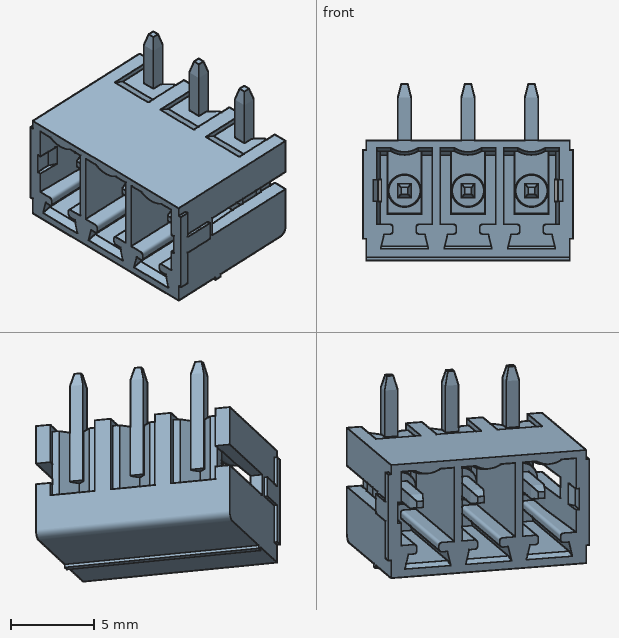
import cadquery as cq
import math


overlap = 0.13

pitch = 3.81
pole_count = 3
pole_xs = [(i - (pole_count - 1) / 2) * pitch for i in range(pole_count)]

overall_width = 12.62
body_width = 12.24
body_depth = 9.2
body_bottom = 0.19
body_top = 7.22
rear_bottom_radius = 0.48
half_body = body_width / 2

flange_thickness = (overall_width - body_width) / 2
flange_depth = 0.59
flange_bottom = 1.3
flange_top = 6.64
tongue_depth = 2.51
tongue_bottom = 3.61
tongue_top = 4.81

standoff_front = 3.17
standoff_rear = 3.62

pin_size = 0.82
pin_tip_size = 0.4
pin_tip_length = 0.82
pin_z = 4.19
pin_y = 8.01
pin_front = 1.63
pin_top = 10.6

cavity_half = 1.67
cavity_floor = 2.17
cavity_rear = 7.98
ceiling_front = 6.76
ceiling_mouth_depth = 0.62
ceiling = 6.58
ceiling_rear = 6.34
ceiling_rear_bevel = 0.5
outer_wall_draft = 0.21
outer_wall_draft_depth = 5.68
bulge_half_width = 0.82
bulge_drop = 0.24

pedestal_front = 6.87
pedestal_half = 1.0
pedestal_bottom = 2.84
pedestal_flare = 0.05
collar_front = 5.67
collar_radius = 0.95
collar_base_radius = 0.98

throat_half = 0.7
lip_radius = 0.19
lip_bottom = 1.59
groove_top_half = 1.22
groove_bottom_half = 1.44
groove_floor = 0.87
groove_mouth_floor = 0.7
groove_mouth_depth = 0.54

slot_bottom = 3.56
slot_top = 4.86
slot_front = 2.89
recess_x = 5.69
recess_depth = 0.88
recess_ramp_rear = 1.51
recess_ramp_x = 5.38

pocket_half = 1.4
pocket_floor = 6.89
pocket_front = 6.13
pocket_slope_rear = 6.83
rear_recess_y = 8.8
vee_half = 0.95
vee_apex_y = rear_recess_y - vee_half
rear_recess_bottom = 2.78
rear_recess_rise = 0.4
slot_floor_x = pole_xs[-1] + pocket_half


def box(x0, x1, y0, y1, z0, z1):
    """Axis-aligned block between the given limits."""
    return cq.Workplane("XY").box(x1 - x0, y1 - y0, z1 - z0, centered=False).translate((x0, y0, z0))


def rect_loft(start, end):
    """Straight-sided loft along Y between two rectangles (y, x0, x1, z0, z1)."""
    wires = []
    for y, x0, x1, z0, z1 in (start, end):
        corners = [(x0, y, z0), (x1, y, z0), (x1, y, z1), (x0, y, z1)]
        wires.append(cq.Wire.makePolygon([cq.Vector(*c) for c in corners], close=True))
    return cq.Workplane(obj=cq.Solid.makeLoft(wires, True))


def prism_y(outline, y0, y1):
    """Extrude an XZ outline from y0 to y1."""
    return outline.extrude(y0 - y1).translate((0, y0, 0))


def housing():
    body = box(-half_body, half_body, 0, body_depth, body_bottom, body_top)
    body = body.edges("|X and >Y and <Z").fillet(rear_bottom_radius)
    body = body.union(box(-half_body, half_body, standoff_front, standoff_rear, 0, body_bottom + overlap))
    for side in (-1, 1):
        x0, x1 = sorted((side * half_body, side * (half_body + flange_thickness)))
        body = body.union(box(x0, x1, 0, flange_depth, flange_bottom, flange_top))
        body = body.union(box(x0, x1, 0, tongue_depth, tongue_bottom, tongue_top))
    return body


def ceiling_bulge(x):
    """Rounded rib hanging from the cavity ceiling, sloped at the mouth and level behind it."""

    def stretch(y0, z0, y1, z1):
        profile = (
            cq.Workplane("XZ", origin=(x, y0, z0))
            .moveTo(-bulge_half_width, bulge_drop)
            .lineTo(-bulge_half_width, 0)
            .threePointArc((0, -bulge_drop), (bulge_half_width, 0))
            .lineTo(bulge_half_width, bulge_drop)
            .close()
        )
        return cq.Workplane(obj=cq.Solid.extrudeLinear(profile.val(), [], cq.Vector(0, y1 - y0, z1 - z0)))

    mouth = stretch(0, ceiling_front, ceiling_mouth_depth, ceiling)
    return mouth.union(stretch(ceiling_mouth_depth, ceiling, pedestal_front, ceiling))


def pedestal(x):
    """Flared block on the rear wall with a tapered collar round the pin."""
    flare_half = pedestal_half + pedestal_flare
    block = rect_loft(
        (pedestal_front, x - pedestal_half, x + pedestal_half, pedestal_bottom, body_top),
        (cavity_rear, x - flare_half, x + flare_half, pedestal_bottom - pedestal_flare, body_top),
    )
    collar = cq.Workplane(
        obj=cq.Solid.makeCone(
            collar_radius,
            collar_base_radius,
            pedestal_front - collar_front,
            cq.Vector(x, collar_front, pin_z),
            cq.Vector(0, 1, 0),
        )
    )
    return block.union(collar)


def keyed_groove(x):
    """Round-lipped throat over a dovetail, with the floor bevelled at the mouth."""
    lip_middle = (cavity_floor + lip_bottom) / 2
    throat = box(x - throat_half, x + throat_half, 0, cavity_rear, lip_bottom, cavity_floor)
    for side in (-1, 1):
        for z, toward in ((cavity_floor, -1), (lip_bottom, 1)):
            edge = x + side * throat_half
            arc_mid = lip_radius * (1 - math.sqrt(0.5))
            corner = (
                cq.Workplane("XZ")
                .moveTo(edge, z)
                .lineTo(edge + side * lip_radius, z)
                .threePointArc((edge + side * arc_mid, z + toward * arc_mid), (edge, z + toward * lip_radius))
                .close()
            )
            throat = throat.union(prism_y(corner, 0, cavity_rear))
    dovetail = (
        cq.Workplane("XZ")
        .moveTo(x - groove_top_half, lip_bottom)
        .lineTo(x + groove_top_half, lip_bottom)
        .lineTo(x + groove_bottom_half, groove_mouth_floor)
        .lineTo(x - groove_bottom_half, groove_mouth_floor)
        .close()
    )
    floor = (
        cq.Workplane("YZ")
        .moveTo(0, groove_mouth_floor)
        .lineTo(groove_mouth_depth, groove_floor)
        .lineTo(cavity_rear, groove_floor)
        .lineTo(cavity_rear, lip_middle)
        .lineTo(0, lip_middle)
        .close()
        .extrude(groove_bottom_half, both=True)
        .translate((x, 0, 0))
    )
    return throat.union(prism_y(dovetail, 0, cavity_rear).intersect(floor))


def cavity(x):
    """Space removed for one plug: bevelled ceiling, and drafted walls where they are outermost."""
    left, right = x - cavity_half, x + cavity_half
    left_draft = outer_wall_draft if x == pole_xs[0] else 0
    right_draft = outer_wall_draft if x == pole_xs[-1] else 0
    left_rear, right_rear = left + left_draft, right - right_draft
    drafted = rect_loft(
        (0, left, right, cavity_floor, ceiling_front),
        (outer_wall_draft_depth, left_rear, right_rear, cavity_floor, ceiling_front),
    )
    straight = box(left_rear, right_rear, outer_wall_draft_depth, cavity_rear, cavity_floor, ceiling_front)
    side_profile = (
        cq.Workplane("YZ")
        .moveTo(0, cavity_floor)
        .lineTo(0, ceiling_front)
        .lineTo(ceiling_mouth_depth, ceiling)
        .lineTo(cavity_rear - ceiling_rear_bevel, ceiling)
        .lineTo(cavity_rear, ceiling_rear)
        .lineTo(cavity_rear, cavity_floor)
        .close()
        .extrude(cavity_half, both=True)
        .translate((x, 0, 0))
    )
    space = drafted.union(straight).intersect(side_profile)
    space = space.cut(ceiling_bulge(x)).cut(pedestal(x))
    return space.union(keyed_groove(x))


def latch_slot(side):
    """Side slot, open to the rear, and the ramped recess inside the front of the wall."""
    outer = half_body + flange_thickness
    slot = box(slot_floor_x, outer, slot_front, body_depth, slot_bottom, slot_top)
    recess = (
        cq.Workplane("XY")
        .moveTo(recess_ramp_x - overlap, 0)
        .lineTo(recess_x, 0)
        .lineTo(recess_x, recess_depth)
        .lineTo(recess_ramp_x, recess_ramp_rear)
        .lineTo(recess_ramp_x - overlap, recess_ramp_rear)
        .close()
        .extrude(slot_top - slot_bottom)
        .translate((0, 0, slot_bottom))
    )
    tool = slot.union(recess)
    return tool if side > 0 else tool.mirror("YZ")


def pin_pocket(x):
    """Shallow top pocket that drops into a vee-backed recess at the rear."""
    top = (
        cq.Workplane("YZ")
        .moveTo(pocket_front, body_top)
        .lineTo(pocket_slope_rear, pocket_floor)
        .lineTo(body_depth, pocket_floor)
        .lineTo(body_depth, body_top)
        .close()
        .extrude(pocket_half, both=True)
        .translate((x, 0, 0))
    )
    plan = (
        cq.Workplane("XY")
        .moveTo(x - pocket_half, body_depth)
        .lineTo(x - pocket_half, rear_recess_y)
        .lineTo(x - vee_half, rear_recess_y)
        .lineTo(x, vee_apex_y)
        .lineTo(x + vee_half, rear_recess_y)
        .lineTo(x + pocket_half, rear_recess_y)
        .lineTo(x + pocket_half, body_depth)
        .close()
        .extrude(body_top)
    )
    side = (
        cq.Workplane("YZ")
        .moveTo(vee_apex_y, rear_recess_bottom + rear_recess_rise)
        .lineTo(body_depth, rear_recess_bottom)
        .lineTo(body_depth, body_top)
        .lineTo(vee_apex_y, body_top)
        .close()
        .extrude(pocket_half, both=True)
        .translate((x, 0, 0))
    )
    return top.union(plan.intersect(side))


def tapered_bar(length):
    """Square bar along +Z from the origin, ending in a blunt tapered tip of the given total length."""
    shank_length = length - pin_tip_length
    shank = cq.Workplane("XY").rect(pin_size, pin_size).extrude(shank_length)
    tip = (
        cq.Workplane("XY", origin=(0, 0, shank_length))
        .rect(pin_size, pin_size)
        .workplane(offset=pin_tip_length)
        .rect(pin_tip_size, pin_tip_size)
        .loft(ruled=True)
    )
    return shank.union(tip)


def pin(x):
    """Right-angle contact: one leg forward into the cavity, one leg up."""
    elbow_bottom = pin_z - pin_size / 2
    elbow_rear = pin_y + pin_size / 2
    up = tapered_bar(pin_top - elbow_bottom).translate((x, pin_y, elbow_bottom))
    forward = tapered_bar(elbow_rear - pin_front).rotate((0, 0, 0), (1, 0, 0), 90)
    return up.union(forward.translate((x, elbow_rear, pin_z)))


result = housing()
for pole_x in pole_xs:
    result = result.cut(cavity(pole_x))
    result = result.cut(pin_pocket(pole_x))
for wall_side in (-1, 1):
    result = result.cut(latch_slot(wall_side))
for pole_x in pole_xs:
    result = result.union(pin(pole_x))